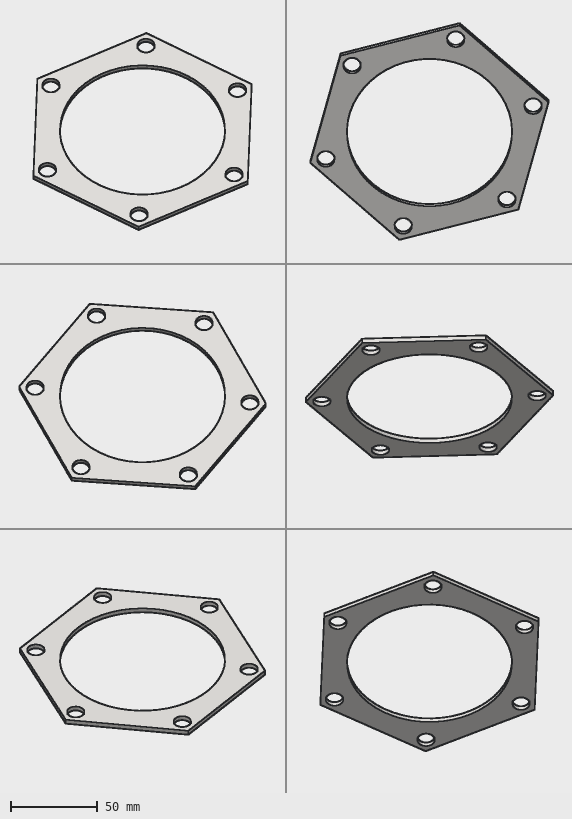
import cadquery as cq

corner_diameter = 142.6
thickness = 3.0
bore_diameter = 95.0
bolt_circle_diameter = 124.0
bolt_hole_diameter = 10.0
corner_count = 6

plate = cq.Workplane("XY").polygon(corner_count, corner_diameter).extrude(thickness)

plate = plate.faces(">Z").workplane().hole(bore_diameter)

result = (
    plate.faces(">Z")
    .workplane()
    .polarArray(bolt_circle_diameter / 2, 0, 360, corner_count)
    .hole(bolt_hole_diameter)
)